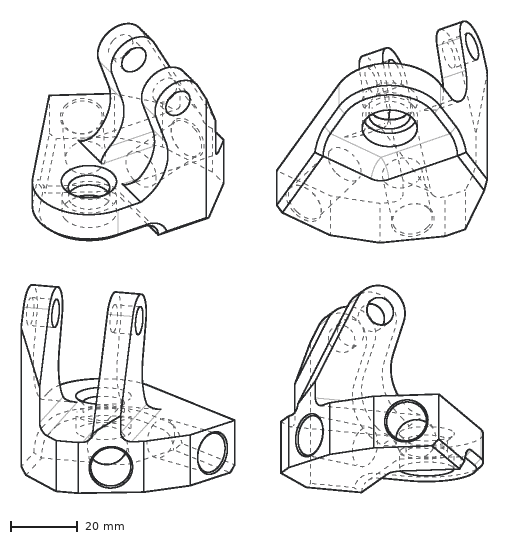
import cadquery as cq
import math


plate_thickness = 16.0
nose_radius = 17.0
left_x, left_y = -44.4, 12.25
upper_left = (-35.3, 29.65)
back_left = (-23.6, 39.45)
overall_depth = 62.8
back_y = overall_depth - nose_radius
back_edge_left = (-4.9, back_y)
back_edge_right = (1.95, back_y)
right_corner = (nose_radius, 30.9)

nose_thickness = 11.0
relief_depth = plate_thickness - nose_thickness
relief_corner = (-8.3, 10.3)
edge_chamfer = 2.0

bore_radius = 6.2
bore_chamfer = 2.1
bore_length = 5.65
counterbore_radius = 8.2

socket_radius = 6.05
socket_chamfer = 0.5
socket_depth = 21.35

lug_width = 8.0
lug_inner_x = nose_radius - lug_width
lug_fillet = 3.0
eye_y, eye_z = 21.0, 31.8
eye_radius = 8.0
eye_hole_radius = 4.2
neck_angle = math.radians(18)
neck_bottom_z = 18.9
throat_radius = 15.3

tolerance = 0.005
reach = 125.65


def nose_tangent():
    """Point where the front side leaves the left corner's straight run and becomes the round nose."""
    corner_angle = math.atan2(left_y, left_x)
    tangent_angle = corner_angle + math.acos(nose_radius / math.hypot(left_x, left_y))
    return nose_radius * math.cos(tangent_angle), nose_radius * math.sin(tangent_angle)


def plate_outline():
    """Plan outline, with its left front side tangent to the round nose."""
    return (
        cq.Workplane("XY").moveTo(left_x, left_y)
        .lineTo(*upper_left).lineTo(*back_left)
        .lineTo(*back_edge_left).lineTo(*back_edge_right)
        .lineTo(*right_corner).lineTo(nose_radius, 0)
        .threePointArc((0, -nose_radius), nose_tangent())
        .close()
    )


def relief_profile():
    """Quarter-round section of a relief wall at the relief corner."""
    diagonal = relief_depth * math.sqrt(0.5)
    return (
        cq.Workplane("YZ", origin=(*relief_corner, -plate_thickness))
        .lineTo(relief_depth, 0)
        .threePointArc((diagonal, diagonal), (0, relief_depth))
        .close()
    )


def make_relief():
    """Clearance under the nose: a plan region whose walls flare out in a concave quarter round."""
    run_x, run_y = upper_left[0] - left_x, upper_left[1] - left_y
    length = math.hypot(run_x, run_y)
    corner_x, corner_y = relief_corner
    wall_end = (corner_x - reach * run_x / length, corner_y - reach * run_y / length)
    slab = (
        cq.Workplane("XY").workplane(offset=-plate_thickness)
        .polyline([relief_corner, (reach, corner_y), (reach, -reach), wall_end]).close()
        .extrude(relief_depth)
    )
    wall_turn = 90 - math.degrees(math.atan2(run_x, run_y))
    right_wall = relief_profile().extrude(reach)
    left_wall = (
        relief_profile().extrude(-reach)
        .rotate((corner_x, corner_y, 0), (corner_x, corner_y, 1), wall_turn)
    )
    corner_round = relief_profile().revolve(wall_turn, (0, 0), (0, 1))
    return slab.union(right_wall).union(left_wall).union(corner_round)


def on_lower_rim(edge):
    """True for the bottom edges of the front side, the nose and the right side."""
    point = edge.positionAt(0.5)
    tangent_x, tangent_y = nose_tangent()
    front_distance = (point.x * tangent_x + point.y * tangent_y) / nose_radius
    on_front = math.isclose(front_distance, nose_radius, abs_tol=tolerance)
    on_nose = math.isclose(math.hypot(point.x, point.y), nose_radius, abs_tol=tolerance)
    on_right = math.isclose(point.x, nose_radius, abs_tol=tolerance)
    is_lower = point.z < tolerance - nose_thickness
    return is_lower and (on_front or on_nose or on_right)


def make_base():
    """Plate with the relief cut away and its lower rim chamfered all along the step."""
    base = plate_outline().extrude(-plate_thickness).cut(make_relief())
    return base.edges().filter(on_lower_rim).chamfer(edge_chamfer)


def make_bore():
    """Pivot bore countersunk from above and counterbored from below."""
    mouth_radius = bore_radius + bore_chamfer
    return (
        cq.Workplane("XZ")
        .polyline([
            (0, 0), (mouth_radius, 0), (bore_radius, -bore_chamfer),
            (bore_radius, -bore_length), (counterbore_radius, -bore_length),
            (counterbore_radius, -nose_thickness),
            (0, -nose_thickness),
        ])
        .close().revolve(360, (0, 0), (0, 1))
    )


def make_socket(start, end):
    """Blind chamfered hole, centred on and square to the side from start to end."""
    run_x, run_y = end[0] - start[0], end[1] - start[1]
    middle = ((start[0] + end[0]) / 2, (start[1] + end[1]) / 2, -plate_thickness / 2)
    plane = cq.Plane(origin=middle, xDir=(run_x, run_y, 0), normal=(run_y, -run_x, 0))
    mouth_radius = socket_radius + socket_chamfer
    return (
        cq.Workplane(plane).circle(socket_radius).extrude(socket_depth)
        .union(cq.Workplane(plane).circle(mouth_radius).extrude(socket_chamfer, taper=45))
    )


def lug_side_profile():
    """Side shape of a lug: round eye, straight back, leaning neck and hollow throat."""
    to_eye_y, to_eye_z = eye_y - back_y, eye_z
    distance = math.hypot(to_eye_y, to_eye_z)
    back_angle = math.atan2(-to_eye_z, -to_eye_y) + math.acos(eye_radius / distance)
    back_tangent = (eye_y + eye_radius * math.cos(back_angle), eye_z + eye_radius * math.sin(back_angle))
    lean_y, lean_z = math.cos(neck_angle), math.sin(neck_angle)
    neck_top = (eye_y - eye_radius * lean_y, eye_z - eye_radius * lean_z)
    neck_bottom = (neck_top[0] + (neck_top[1] - neck_bottom_z) * math.tan(neck_angle), neck_bottom_z)
    throat_y = neck_bottom[0] - throat_radius * lean_y
    throat_z = neck_bottom_z - throat_radius * lean_z
    throat_foot = (throat_y + math.sqrt(throat_radius**2 - throat_z**2), 0)
    return (
        cq.Workplane("YZ", origin=(-reach / 2, 0, 0)).moveTo(back_y, 0)
        .lineTo(*back_tangent)
        .threePointArc((eye_y, eye_z + eye_radius), neck_top)
        .lineTo(*neck_bottom)
        .threePointArc((throat_y + throat_radius, throat_z), throat_foot)
        .close().extrude(reach)
    )


def make_lug_slab(left, right):
    """Upright slab running along Y, flared where it meets the plate."""
    height = eye_z + eye_radius
    diagonal = lug_fillet * (1 - math.sqrt(0.5))
    return (
        cq.Workplane("XZ").moveTo(left - lug_fillet, 0)
        .threePointArc((left - diagonal, diagonal), (left, lug_fillet))
        .lineTo(left, height).lineTo(right, height).lineTo(right, lug_fillet)
        .threePointArc((right + diagonal, diagonal), (right + lug_fillet, 0))
        .close().extrude(-back_y)
    )


def make_lugs():
    """Both lugs, trimmed to the side profile and to the plan outline of the plate."""
    slabs = make_lug_slab(-nose_radius, -lug_inner_x).union(make_lug_slab(lug_inner_x, nose_radius))
    eye_hole = (
        cq.Workplane("YZ", origin=(-reach / 2, 0, 0))
        .center(eye_y, eye_z).circle(eye_hole_radius).extrude(reach)
    )
    plan_column = plate_outline().extrude(eye_z + eye_radius)
    return slabs.intersect(lug_side_profile()).intersect(plan_column).cut(eye_hole)


result = (
    make_base()
    .cut(make_bore())
    .cut(make_socket((left_x, left_y), upper_left))
    .cut(make_socket(back_left, back_edge_left))
    .union(make_lugs())
)